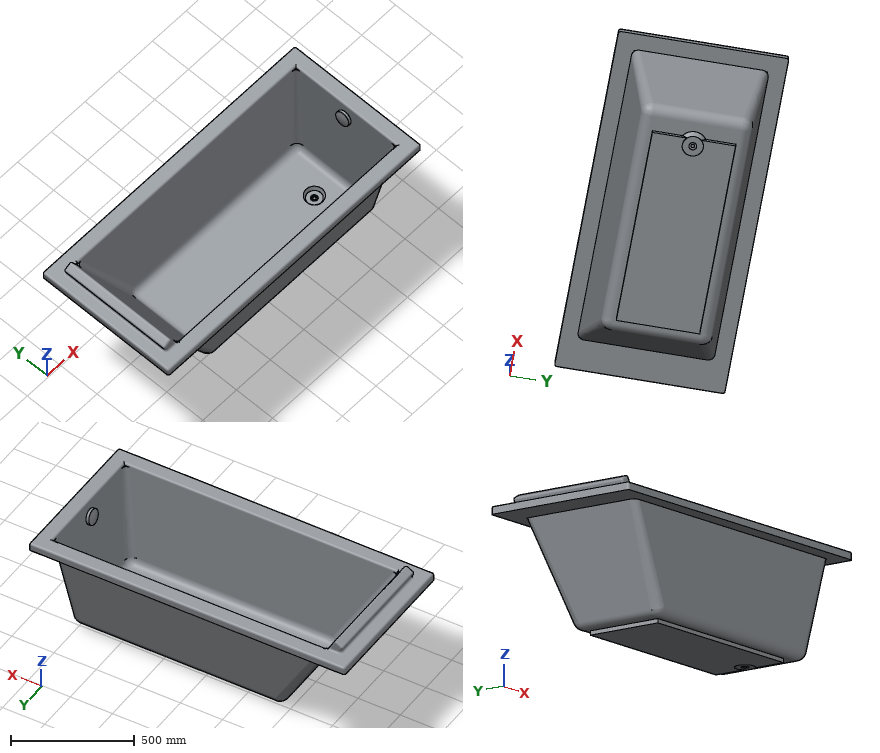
import cadquery as cq
import math

RIM_LENGTH = 1500.0
RIM_WIDTH = 700.0
RIM_THICKNESS = 35.0
RIM_CORNER_RADIUS = 10.0
EDGE_RADIUS = 10.0

WALL = 7.0
TOTAL_DEPTH = 480.0
BOARD_THICKNESS = 18.0
BASIN_RADIUS = 36.0
WALL_ANGLE = math.radians(7.8)
BACKREST_ANGLE = math.radians(30)
MOUTH_CORNER_RADIUS = 21.0
MOUTH_DEPTH = 10.0
BASIN_HALF_WIDTH = 279.0
FOOT_X = 680.0
BACKREST_X = -627.0

HEADREST_HEIGHT = 52.0
HEADREST_THICKNESS = 48.0
HEADREST_ROOT = 22.0

BOARD_START_X = -320.0
BOARD_END_X = 522.0
BOARD_WIDTH = 344.0

DRAIN_X = 490.0
WELL_TOP_DIAMETER = 90.0
WELL_FLOOR_DIAMETER = 72.0
BOSS_TOP_DIAMETER = 114.0
BOSS_BOTTOM_DIAMETER = WELL_FLOOR_DIAMETER + 2 * WALL
DRAIN_DIAMETER = 32.0
DRAIN_RECESS_DIAMETER = 24.0
DRAIN_RECESS_DEPTH = 2.0
DRAIN_BORE_DIAMETER = 14.5
DRAIN_BORE_DEPTH = 5.0

OVERFLOW_DIAMETER = 72.0
OVERFLOW_RIM_HEIGHT = 14.0
OVERFLOW_DOME_HEIGHT = 6.0
OVERFLOW_DEPTH = 75.0

SHELL_BOTTOM_Z = BOARD_THICKNESS - TOTAL_DEPTH
FLOOR_Z = SHELL_BOTTOM_Z + WALL
WELL_FLOOR_Z = WALL - TOTAL_DEPTH

INNER_HALF_LENGTH = RIM_LENGTH / 2 - 2 * EDGE_RADIUS
INNER_HALF_WIDTH = RIM_WIDTH / 2 - 2 * EDGE_RADIUS


def wall_positions(z, offset):
    """Backrest X, foot wall X and side wall half width at height z, grown outward by offset."""
    side_growth = z * math.tan(WALL_ANGLE) + offset / math.cos(WALL_ANGLE)
    back_growth = z * math.tan(BACKREST_ANGLE) + offset / math.cos(BACKREST_ANGLE)
    return BACKREST_X - back_growth, FOOT_X + side_growth, BASIN_HALF_WIDTH + side_growth


def sharp_block(low_z, high_z, offset=0):
    """Square-cornered block between the four leaning walls of the basin."""
    low_back, low_foot, low_half = wall_positions(low_z, offset)
    high_back, high_foot, high_half = wall_positions(high_z, offset)
    lengthwise = (
        cq.Workplane("XZ")
        .polyline([(low_back, low_z), (low_foot, low_z), (high_foot, high_z), (high_back, high_z)])
        .close()
        .extrude(RIM_WIDTH, both=True)
    )
    crosswise = (
        cq.Workplane("YZ")
        .polyline([(-low_half, low_z), (low_half, low_z), (high_half, high_z), (-high_half, high_z)])
        .close()
        .extrude(RIM_LENGTH, both=True)
    )
    return lengthwise.intersect(crosswise)


def opening_block():
    """Basin space carried from below the rim to above the headrest, with square corners."""
    return sharp_block(-2 * RIM_THICKNESS, 2 * HEADREST_HEIGHT)


def rounded_outline(z, offset, corner_radius):
    """Plan outline of the basin at height z, with rounded corners."""
    back, foot, half = wall_positions(z, offset)
    centre = ((back + foot) / 2, 0, z)
    outline = cq.Workplane(origin=centre).rect(foot - back, 2 * half).wires().val()
    return outline.fillet2D(corner_radius + offset, outline.Vertices())


def basin_block(offset):
    """Basin space below its mouth, grown outward by offset.

    The upright corners widen from MOUTH_CORNER_RADIUS at the mouth to BASIN_RADIUS at the floor.
    """
    bottom_z = FLOOR_Z - offset
    sharp = sharp_block(bottom_z, -MOUTH_DEPTH, offset)
    rounded = cq.Solid.makeLoft(
        [
            rounded_outline(bottom_z, offset, BASIN_RADIUS),
            rounded_outline(-MOUTH_DEPTH, offset, MOUTH_CORNER_RADIUS),
        ],
        True,
    )
    corner_slivers = sharp.cut(cq.Workplane(rounded))
    return sharp.cut(corner_slivers).faces("<Z").edges().fillet(BASIN_RADIUS + offset)


def make_rim():
    rim = cq.Workplane().box(RIM_LENGTH, RIM_WIDTH, RIM_THICKNESS, centered=(True, True, False))
    rim = rim.translate((0, 0, -RIM_THICKNESS))
    return rim.edges("|Z").fillet(RIM_CORNER_RADIUS).faces(">Z").edges().fillet(EDGE_RADIUS)


def make_headrest():
    """Slab that carries the backrest plane up above the rim, with a square top."""
    lean = math.tan(BACKREST_ANGLE)
    across = (math.cos(BACKREST_ANGLE), math.sin(BACKREST_ANGLE))
    rounding_drop = EDGE_RADIUS * (math.cos(BACKREST_ANGLE) + math.sin(BACKREST_ANGLE) - 1)
    front_top_z = HEADREST_HEIGHT + rounding_drop
    front_top = (BACKREST_X - front_top_z * lean, front_top_z)
    back_top = tuple(f - HEADREST_THICKNESS * a for f, a in zip(front_top, across))
    back_root_x = back_top[0] + (back_top[1] + HEADREST_ROOT) * lean
    front_root_x = BACKREST_X + HEADREST_ROOT * lean
    slab = (
        cq.Workplane("XZ")
        .polyline([front_top, back_top, (back_root_x, -HEADREST_ROOT), (front_root_x, -HEADREST_ROOT)])
        .close()
        .extrude(BASIN_HALF_WIDTH, both=True)
    )
    return slab.edges("not <Z").fillet(EDGE_RADIUS)


def well_cone(bottom_diameter, top_diameter, bottom_z, top_z):
    """Upright cone about the drain axis."""
    axis_foot = cq.Vector(DRAIN_X, 0, bottom_z)
    return cq.Workplane(cq.Solid.makeCone(bottom_diameter / 2, top_diameter / 2, top_z - bottom_z, axis_foot))


def well_boss():
    """Outside of the drain well, down to the underside of the base board."""
    return well_cone(BOSS_BOTTOM_DIAMETER, BOSS_TOP_DIAMETER, -TOTAL_DEPTH, SHELL_BOTTOM_Z)


def well_space():
    """Inside of the drain well."""
    return well_cone(WELL_FLOOR_DIAMETER, WELL_TOP_DIAMETER, WELL_FLOOR_Z, FLOOR_Z)


def drain_blank():
    """Solid disc that fills the hole in the well floor."""
    return cq.Workplane(origin=(DRAIN_X, 0, -TOTAL_DEPTH)).circle(DRAIN_DIAMETER / 2).extrude(WALL)


def edges_at_rim_top(body, half_width, back_x, foot_x):
    """Edges lying in the rim top within a plan rectangle centred on Y = 0."""
    margin = 0.2
    rectangle = cq.selectors.BoxSelector(
        (back_x, -half_width, -margin),
        (foot_x, half_width, margin),
        boundingbox=True,
    )
    return body.edges(rectangle)


def make_footed_headrest(rim):
    """Headrest with a concave foot blending into the rim, trimmed to the backrest plane."""
    joined = rim.union(make_headrest())
    foot_edges = edges_at_rim_top(joined, INNER_HALF_WIDTH, -INNER_HALF_LENGTH, 0)
    footed = foot_edges.fillet(EDGE_RADIUS)
    region_length = RIM_LENGTH / 4
    region = (
        cq.Workplane()
        .box(
            region_length,
            2 * (BASIN_HALF_WIDTH + EDGE_RADIUS),
            MOUTH_DEPTH + 2 * HEADREST_HEIGHT,
            centered=(True, True, False),
        )
        .translate((BACKREST_X + EDGE_RADIUS - region_length / 2, 0, -MOUTH_DEPTH))
    )
    return footed.intersect(region).cut(opening_block())


def make_opened_rim(rim):
    """Rim pierced by the square-cornered opening, with the opening's top edges rounded."""
    opened = rim.cut(opening_block())
    return edges_at_rim_top(opened, INNER_HALF_WIDTH, -INNER_HALF_LENGTH, INNER_HALF_LENGTH).fillet(EDGE_RADIUS)


def make_shell():
    """Thin-walled basin below the rim, with the drain well in its floor."""
    shell = basin_block(WALL).union(well_boss())
    return shell.cut(basin_block(0)).cut(well_space()).cut(drain_blank())


def make_tub():
    rim = make_rim()
    return make_opened_rim(rim).union(make_shell()).union(make_footed_headrest(rim))


def make_base_board():
    board = cq.Workplane().box(
        BOARD_END_X - BOARD_START_X, BOARD_WIDTH, BOARD_THICKNESS, centered=(False, True, False)
    )
    return board.translate((BOARD_START_X, 0, -TOTAL_DEPTH)).cut(well_boss())


def make_drain():
    """Drain disc with a shallow recess and a blind bore in its top."""
    drain = drain_blank()
    drain = drain.faces(">Z").workplane().hole(DRAIN_RECESS_DIAMETER, DRAIN_RECESS_DEPTH)
    return drain.faces(">Z").workplane().hole(DRAIN_BORE_DIAMETER, DRAIN_BORE_DEPTH)


def make_overflow():
    """Round domed cap standing square on the inside of the foot wall."""
    centre = (FOOT_X - OVERFLOW_DEPTH * math.tan(WALL_ANGLE), 0, -OVERFLOW_DEPTH)
    out_of_wall = (-math.cos(WALL_ANGLE), 0, math.sin(WALL_ANGLE))
    cap_plane = cq.Plane(origin=centre, xDir=(0, 1, 0), normal=out_of_wall)
    radius = OVERFLOW_DIAMETER / 2
    peak = OVERFLOW_RIM_HEIGHT + OVERFLOW_DOME_HEIGHT
    dome_radius = (radius**2 + OVERFLOW_DOME_HEIGHT**2) / (2 * OVERFLOW_DOME_HEIGHT)
    dome = cq.Workplane(cap_plane).workplane(offset=peak - dome_radius).sphere(dome_radius)
    return cq.Workplane(cap_plane).circle(radius).extrude(peak).intersect(dome)


tub = make_tub()
base_board = make_base_board()
drain = make_drain()
overflow = make_overflow()

result = cq.Compound.makeCompound([tub.val(), base_board.val(), drain.val(), overflow.val()])